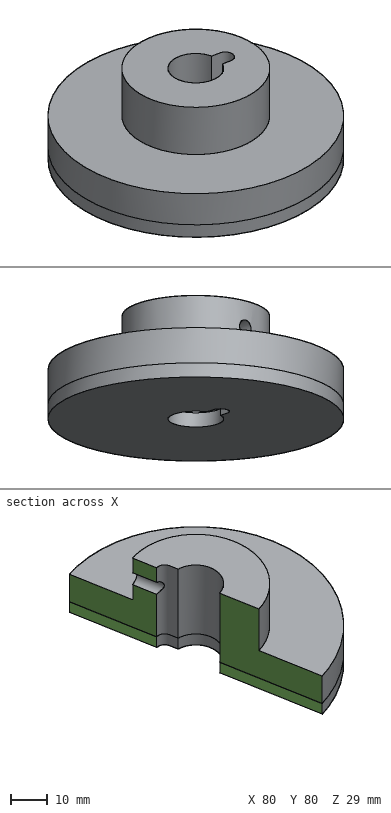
import cadquery as cq

disc_diameter = 80
hub_diameter = disc_diameter / 2
total_height = 29.0
lining_thickness = 4
hub_height = 15.0
hub_base = total_height - hub_height
flange_thickness = hub_base - lining_thickness

bore_diameter = 15.0
keyway_width = 5.0
keyway_end_center = 9.8

screw_hole_diameter = 4.2
screw_hole_height = hub_base + hub_height / 2


def make_bore_cutter():
    """Full-height bore and keyway that runs through every body."""
    bore = cq.Workplane("XY").circle(bore_diameter / 2).extrude(total_height)
    keyway = (
        cq.Workplane("XY")
        .center(0, keyway_end_center / 2)
        .slot2D(keyway_end_center + keyway_width, keyway_width, 90)
        .extrude(total_height)
    )
    return bore.union(keyway)


def make_screw_hole_cutter():
    """Radial cylinder from the keyway out through the +Y wall of the hub."""
    return (
        cq.Workplane("XZ", origin=(0, keyway_end_center, screw_hole_height))
        .circle(screw_hole_diameter / 2)
        .extrude(-hub_diameter / 2)
    )


def make_lining():
    """Thin disc at the bottom."""
    disc = cq.Workplane("XY").circle(disc_diameter / 2).extrude(lining_thickness)
    return disc.cut(make_bore_cutter())


def make_flanged_hub():
    """Thick flange with the hub standing on it, bored and drilled for a set screw."""
    flange = (
        cq.Workplane("XY")
        .workplane(offset=lining_thickness)
        .circle(disc_diameter / 2)
        .extrude(flange_thickness)
    )
    hub = (
        cq.Workplane("XY")
        .workplane(offset=hub_base)
        .circle(hub_diameter / 2)
        .extrude(hub_height)
    )
    return flange.union(hub).cut(make_bore_cutter()).cut(make_screw_hole_cutter())


lining = make_lining()
flanged_hub = make_flanged_hub()

result = cq.Compound.makeCompound([lining.val(), flanged_hub.val()])